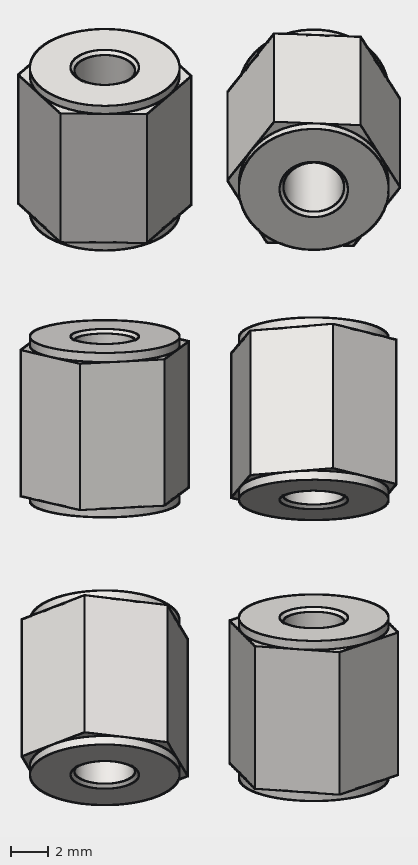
import cadquery as cq
import math

corner_width = 9.24
total_height = 9.0
collar_height = 0.5
bore_diameter = 3.24
bore_chamfer = 0.2

flat_width = corner_width * math.cos(math.pi / 6)
hex_height = total_height - 2 * collar_height

core = cq.Workplane("XY").circle(flat_width / 2).extrude(total_height)

hexagon = (
    cq.Workplane("XY")
    .workplane(offset=collar_height)
    .polygon(6, corner_width)
    .extrude(hex_height)
)

bore_radius = bore_diameter / 2
mouth_radius = bore_radius + bore_chamfer
bore = (
    cq.Workplane("XZ")
    .moveTo(0, 0)
    .lineTo(mouth_radius, 0)
    .lineTo(bore_radius, bore_chamfer)
    .lineTo(bore_radius, total_height - bore_chamfer)
    .lineTo(mouth_radius, total_height)
    .lineTo(0, total_height)
    .close()
    .revolve(360, (0, 0, 0), (0, 1, 0))
)

result = core.union(hexagon).cut(bore)